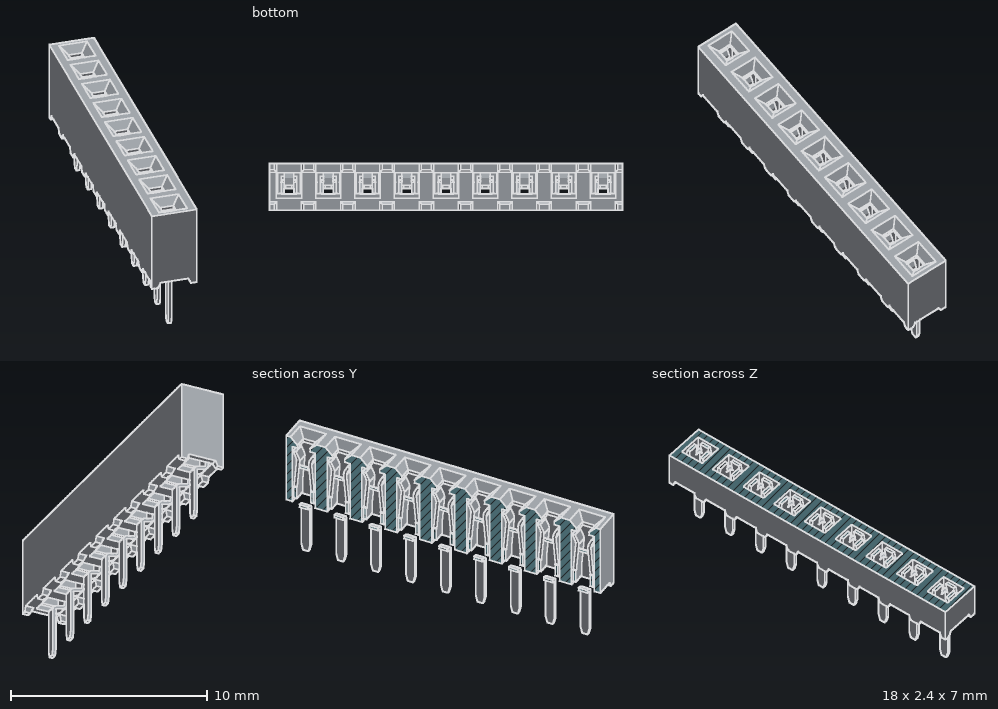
import cadquery as cq
import math

contact_count = 9
length = 18.0
pitch = length / contact_count
contact_xs = [(i - (contact_count - 1) / 2) * pitch for i in range(contact_count)]

housing_depth = 2.4
housing_height = 4.3
foot_height = 0.29
slot_mouth = 1.5
slot_roof = 1.26
channel_mouth = 1.75
channel_roof = 1.5

funnel_mouth = 1.5
entry_width = 0.7
funnel_depth = (funnel_mouth - entry_width) / 2
lip_height = 0.2
cavity_roof = housing_height - funnel_depth - lip_height

sheet = 0.18
tail_width = 0.5
tail_end_z = -2.7
tip_width = 0.3
tip_height = 0.38
arm_slope = math.radians(14)
tail_bend_radius = 0.23
panel_bend_radius = 0.36
panel_inner_radius = 0.04

back_y = -0.72
collar_bottom = 0.54
collar_top = 1.26
collar_inner = 0.4
collar_front_y = 0.35
collar_outer = collar_inner + sheet
tongue_tip_y = -0.27
tongue_top = 2.7
beam_back_y = -0.25
throat_half = 0.25
throat_z = 2.92
flare_mid_half = 0.3
flare_mid_z = 3.11
flare_top_half = 0.47
flare_top_z = 3.42

cavity_half = flare_top_half + sheet
cavity_front_y = 0.58


def trapezoid_prism(plane, mouth, roof, run):
    """Prism with a trapezoid section, wide at Z = 0, centred on the origin along its run."""
    section = [(-mouth / 2, 0), (mouth / 2, 0), (roof / 2, foot_height), (-roof / 2, foot_height)]
    return cq.Workplane(plane).polyline(section).close().extrude(run / 2, both=True)


def make_socket():
    """Funnel, square entry and contact cavity, centred on X = 0."""
    funnel = (
        cq.Workplane("XY", origin=(0, 0, housing_height))
        .rect(funnel_mouth, funnel_mouth)
        .workplane(offset=-funnel_depth)
        .rect(entry_width, entry_width)
        .loft(ruled=True)
    )
    entry = cq.Workplane("XY", origin=(0, 0, cavity_roof)).rect(entry_width, entry_width)
    entry = entry.extrude(lip_height)
    cavity = cq.Workplane("XY").box(
        2 * cavity_half, cavity_front_y - back_y, cavity_roof, centered=(True, False, False)
    )
    return funnel.union(entry).union(cavity.translate((0, back_y, 0)))


def make_housing():
    body = cq.Workplane("XY").box(length, housing_depth, housing_height, centered=(True, True, False))
    body = body.cut(trapezoid_prism("YZ", channel_mouth, channel_roof, length))
    slot = trapezoid_prism("XZ", slot_mouth, slot_roof, housing_depth)
    socket = make_socket()
    for x in contact_xs:
        body = body.cut(slot.translate((x, 0, 0))).cut(socket.translate((x, 0, 0)))
    return body


def make_strip():
    """Tail, sloping arm, back panel and tongue: one bent strip seen in the YZ plane."""
    rise = math.tan(arm_slope)
    arm_thickness = sheet / math.cos(arm_slope)
    front = -sheet / 2
    rear = sheet / 2
    panel_inner = back_y + sheet

    def arm_underside(y):
        return (front - y) * rise

    tail_outer_bend = (rear, arm_underside(rear) + arm_thickness)
    tail_inner_bend = (front, arm_underside(front))
    panel_outer_bend = (back_y, arm_underside(back_y))
    panel_inner_bend = (panel_inner, arm_underside(panel_inner) + arm_thickness)

    outline = [
        (rear, tail_end_z),
        tail_outer_bend,
        panel_inner_bend,
        (panel_inner, collar_top),
        (tongue_tip_y, tongue_top),
        (tongue_tip_y - sheet, tongue_top),
        (back_y, collar_top),
        panel_outer_bend,
        tail_inner_bend,
        (front, tail_end_z),
    ]
    strip = cq.Workplane("YZ").polyline(outline).close().extrude(tail_width / 2, both=True)
    bends = [
        (tail_outer_bend, tail_bend_radius),
        (panel_outer_bend, panel_bend_radius),
        (panel_inner_bend, panel_inner_radius),
    ]
    for (y, z), radius in bends:
        strip = strip.edges(cq.selectors.NearestToPointSelector((0, y, z))).fillet(radius)
    return strip


def taper_tip(strip):
    """Narrow the end of the tail on both sides."""
    for side in (-1, 1):
        corner = [
            (side * tip_width / 2, tail_end_z),
            (side * tail_width / 2, tail_end_z),
            (side * tail_width / 2, tail_end_z + tip_height),
        ]
        strip = strip.cut(cq.Workplane("XZ").polyline(corner).close().extrude(sheet, both=True))
    return strip


def make_collar():
    """U-shaped collar: back panel and two side walls, open toward +Y."""
    height = collar_top - collar_bottom
    depth = collar_front_y - back_y
    base = cq.Workplane("XY", origin=(0, back_y, collar_bottom))
    outside = base.box(2 * collar_outer, depth, height, centered=(True, False, False))
    inside = base.box(2 * collar_inner, depth, height, centered=(True, False, False))
    return outside.cut(inside.translate((0, sheet, 0)))


def make_beam(side):
    """Side beam rising from the collar to the throat, then flaring outward."""
    inner_face = [
        (collar_inner, collar_top),
        (throat_half, throat_z),
        (flare_mid_half, flare_mid_z),
        (flare_top_half, flare_top_z),
    ]
    outer_face = [(x + sheet, z) for x, z in reversed(inner_face)]
    outline = [(side * x, z) for x, z in inner_face + outer_face]
    beam_depth = collar_front_y - beam_back_y
    return cq.Workplane("XZ", origin=(0, collar_front_y, 0)).polyline(outline).close().extrude(beam_depth)


def make_contact():
    contact = taper_tip(make_strip()).union(make_collar())
    for side in (-1, 1):
        contact = contact.union(make_beam(side))
    return contact


housing = make_housing()
contact = make_contact()
contacts = [contact.translate((x, 0, 0)) for x in contact_xs]

result = cq.Compound.makeCompound([housing.val(), *[c.val() for c in contacts]])